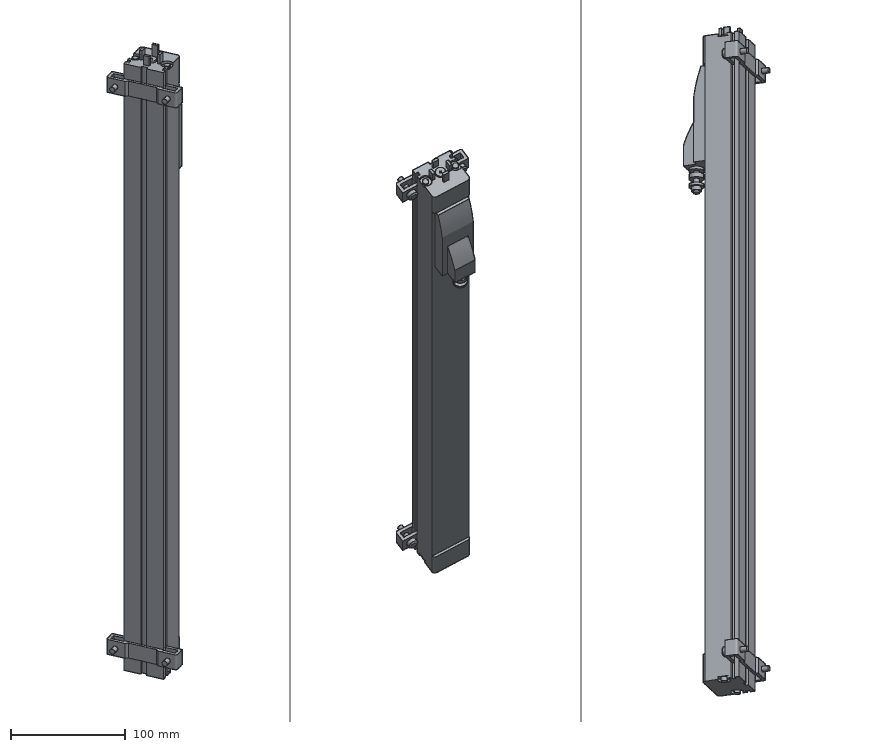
import cadquery as cq


bar_width = 38.0
bar_bottom = 1.0
bar_top = 606.0
bar_front = -22.0
bar_back = 10.0
cap_length = 26.0
cap_back = 12.5
cap_fillet = 3.0
front_groove_width = 5.5
front_groove_depth = 2.5
side_groove_depth = 3.0

bracket_width = 68.0
bracket_height = 15.0
bracket_wall = 3.0
bracket_end_distance = 22.0
ear_back = -15.0
ear_front = -26.5
ear_fillet = 2.0
plate_front = -25.0
plate_half_width = 13.5
plate_slope_width = 2.5

clamp_screw_x = 25.5
clamp_screw_tip = -33.0
clamp_shaft_diameter = 5.0
clamp_head_diameter = 9.0
clamp_head_height = 5.0
clamp_head_chamfer = 1.0

end_centre_y = -7.0
end_screw_x = 15.5
end_recess_diameter = 11.0
end_recess_depth = 2.5
end_screw_diameter = 5.5
upper_screw_height = 2.0
boss_diameter = 9.0
boss_height = 2.0
boss_hole_diameter = 2.05
blade_radius = 8.5
blade_width = 5.5
blade_thickness = 2.5
blade_top = 615.0
rear_blade_top = 617.5

base_width = 32.0
base_top = 579.0
base_step_y = 15.0
base_arc_middle = (18.0, 569.5)
base_arc_bottom = 551.5
base_back = 21.5
hood_width = 21.0
hood_top = 533.5
hood_arc_middle = (29.0, 520.5)
hood_arc_bottom = 510.0
hood_back = 33.5
unit_bottom = 490.0

relief_y = 25.5
relief_core_diameter = 5.5
relief_ring_diameter = 13.0
relief_end_diameter = 8.5
relief_rings = ((488.0, unit_bottom), (480.5, 485.0), (473.0, 475.5))
relief_end_bottom = 469.0
relief_core_bottom = 467.5

bracket_levels = (bar_bottom + bracket_end_distance, bar_top - bracket_end_distance)


def block(x_range, y_range, z_range):
    """Box between the given limits along each axis."""
    size = [limits[1] - limits[0] for limits in (x_range, y_range, z_range)]
    corner = (x_range[0], y_range[0], z_range[0])
    return cq.Workplane("XY").box(*size, centered=False).translate(corner)


def post(x, y, diameter, z_range):
    """Upright cylinder between two heights."""
    height = z_range[1] - z_range[0]
    return cq.Workplane("XY", origin=(x, y, z_range[0])).circle(diameter / 2).extrude(height)


def rod(x, z, diameter, y_range):
    """Cylinder along Y between two depths."""
    length = y_range[1] - y_range[0]
    return cq.Workplane("XZ", origin=(x, y_range[1], z)).circle(diameter / 2).extrude(length)


def make_bar():
    """Grooved bar with the end caps standing slightly proud at the back."""
    half_width = bar_width / 2
    sides = (-half_width, half_width)
    full_length = (bar_bottom, bar_top)
    bar = block(sides, (bar_front, bar_back), full_length)
    for cap_range in ((bar_bottom, bar_bottom + cap_length), (bar_top - cap_length, bar_top)):
        cap = block(sides, (bar_front, cap_back), cap_range)
        bar = bar.union(cap.edges("|Z and >Y").fillet(cap_fillet))

    half_groove = front_groove_width / 2
    groove_y = (bar_front, bar_front + front_groove_depth)
    bar = bar.cut(block((-half_groove, half_groove), groove_y, full_length))

    side_groove_y = (ear_back - bracket_wall, ear_back)
    groove_floor = half_width - side_groove_depth
    for groove_x in ((-half_width, -groove_floor), (groove_floor, half_width)):
        bar = bar.cut(block(groove_x, side_groove_y, full_length))
    return bar


def add_end_screws(bar):
    """Recesses breaking through the bar sides, holding screw heads; only the lower heads stand proud."""
    for x in (-end_screw_x, end_screw_x):
        lower_recess = (bar_bottom, bar_bottom + end_recess_depth)
        upper_recess = (bar_top - end_recess_depth, bar_top)
        for recess in (lower_recess, upper_recess):
            bar = bar.cut(post(x, end_centre_y, end_recess_diameter, recess))
        lower_head = (0, lower_recess[1])
        upper_head = (upper_recess[0], upper_recess[0] + upper_screw_height)
        for head in (lower_head, upper_head):
            bar = bar.union(post(x, end_centre_y, end_screw_diameter, head))
    return bar


def add_plug_contacts(bar):
    """Low round boss with a central hole on the top face, ringed by four upright blades."""
    boss_range = (bar_top, bar_top + boss_height)
    boss = post(0, end_centre_y, boss_diameter, boss_range)
    bar = bar.union(boss.cut(post(0, end_centre_y, boss_hole_diameter, boss_range)))
    for angle, top in ((0, blade_top), (90, rear_blade_top), (180, blade_top), (270, blade_top)):
        blade = block(
            (blade_radius - blade_thickness / 2, blade_radius + blade_thickness / 2),
            (-blade_width / 2, blade_width / 2),
            (bar_top, top),
        )
        blade = blade.rotate((0, 0, 0), (0, 0, 1), angle).translate((0, end_centre_y, 0))
        bar = bar.union(blade)
    return bar


def make_bracket(level):
    """Clamp whose hollow ears hook into the side grooves, complete with its two screws."""
    half_width = bracket_width / 2
    z_range = (level - bracket_height / 2, level + bracket_height / 2)
    bracket = block((-half_width, half_width), (ear_front, ear_back), z_range)
    bracket = bracket.edges("|Z and <Y").fillet(ear_fillet)

    slope_end = plate_half_width + plate_slope_width
    recess = (
        cq.Workplane("XY", origin=(0, 0, z_range[0]))
        .polyline([
            (-slope_end, ear_front),
            (-plate_half_width, plate_front),
            (plate_half_width, plate_front),
            (slope_end, ear_front),
        ])
        .close()
        .extrude(bracket_height)
    )
    bracket = bracket.cut(recess)

    inner = half_width - bracket_wall
    half_bar = bar_width / 2
    hook_tip = half_bar - side_groove_depth
    bracket = bracket.cut(block((-half_bar, half_bar), (bar_front, ear_back - bracket_wall), z_range))
    bracket = bracket.cut(block((-hook_tip, hook_tip), (bar_front, ear_back), z_range))
    cavity_y = (ear_front + bracket_wall, ear_back - bracket_wall)
    for cavity_x in ((-inner, -half_bar), (half_bar, inner)):
        bracket = bracket.cut(block(cavity_x, cavity_y, z_range))

    for x in (-clamp_screw_x, clamp_screw_x):
        bracket = bracket.union(rod(x, level, clamp_shaft_diameter, (clamp_screw_tip, ear_back)))
        head_y = (ear_back, ear_back + clamp_head_height)
        head = rod(x, level, clamp_head_diameter, head_y).faces(">Y").chamfer(clamp_head_chamfer)
        bracket = bracket.union(head)
    return bracket


def make_housing():
    """Bar, end fittings and clamp brackets as one solid."""
    housing = add_plug_contacts(add_end_screws(make_bar()))
    for level in bracket_levels:
        housing = housing.union(make_bracket(level))
    return housing


def make_strain_relief():
    """Slim core with rings along it and a small disc under the lowest ring."""
    relief = post(0, relief_y, relief_core_diameter, (relief_core_bottom, unit_bottom))
    for ring in relief_rings:
        relief = relief.union(post(0, relief_y, relief_ring_diameter, ring))
    end_disc = (relief_end_bottom, relief_rings[-1][0])
    return relief.union(post(0, relief_y, relief_end_diameter, end_disc))


def make_cable_unit():
    """Wide base and narrower hood with rounded upper ends, above the strain relief."""
    base = (
        cq.Workplane("YZ", origin=(-base_width / 2, 0, 0))
        .moveTo(bar_back, unit_bottom)
        .lineTo(bar_back, base_top)
        .lineTo(base_step_y, base_top)
        .threePointArc(base_arc_middle, (base_back, base_arc_bottom))
        .lineTo(base_back, unit_bottom)
        .close()
        .extrude(base_width)
    )
    hood = (
        cq.Workplane("YZ", origin=(-hood_width / 2, 0, 0))
        .moveTo(base_back, unit_bottom)
        .lineTo(base_back, hood_top)
        .threePointArc(hood_arc_middle, (hood_back, hood_arc_bottom))
        .lineTo(hood_back, unit_bottom)
        .close()
        .extrude(hood_width)
    )
    return base.union(hood).union(make_strain_relief())


housing = make_housing()
cable_unit = make_cable_unit()
result = cq.Compound.makeCompound([housing.val(), cable_unit.val()])